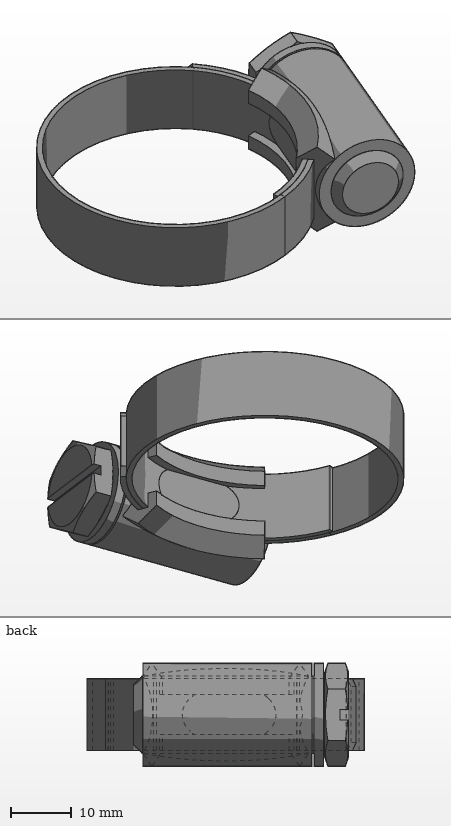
import cadquery as cq
import math


band_radius = 22.9
band_thickness = 0.95
band_width = 11.9
seam_gap = 0.03
joint_angle = 30
inner_tail_angle = 27.4
outer_tail_angle = 153.6
tail_chamfer = 1.3

overlap_radius = band_radius - band_thickness / 2
overlap_shift = band_thickness / 2 / math.cos(math.radians(joint_angle))
overlap_joint = math.degrees(math.atan2(
    overlap_radius * math.sin(math.radians(joint_angle)),
    overlap_radius * math.cos(math.radians(joint_angle)) + overlap_shift,
))

barrel_radius = 8.5
barrel_start = -14.2
barrel_end = 13.7
barrel_bottom = 20.0
axis_y = barrel_bottom + barrel_radius

saddle_inner_radius = 20.85
saddle_centre_y = barrel_bottom - saddle_inner_radius
saddle_ridge_radius = 24.35
saddle_outer_radius = 27.2
saddle_outer_half_width = 6.4
saddle_half_angle = 30
lip_half_opening = 3.3

head_start = -20.25
head_end = -16.3
washer_start = -16.1
washer_end = -14.6
screw_end = 15.15
shank_radius = 6.4
end_chamfer = 1.45
head_corner_radius = 8.5
head_face_radius = 6.95
head_chamfer_length = 0.55
slot_width = 1.7
slot_depth = 1.45


def revolved_sector(profile, start_angle, end_angle):
    """Revolve (radius, z) points about Z, anticlockwise between two angles from +X."""
    return (
        cq.Workplane("XZ")
        .polyline(profile)
        .close()
        .revolve(end_angle - start_angle, (0, 0), (0, 1))
        .rotate((0, 0, 0), (0, 0, 1), start_angle)
    )


def arc_strip(inner_radius, outer_radius, start_angle, end_angle):
    """Stretch of band, centred on Z = 0."""
    half_width = band_width / 2
    profile = [
        (inner_radius, -half_width),
        (outer_radius, -half_width),
        (outer_radius, half_width),
        (inner_radius, half_width),
    ]
    return revolved_sector(profile, start_angle, end_angle)


def x_cylinder(radius, start, end):
    """Cylinder along the screw axis between two X positions."""
    return cq.Workplane("YZ", origin=(start, axis_y, 0)).circle(radius).extrude(end - start)


def make_band():
    ring = arc_strip(band_radius - band_thickness, band_radius,
                     180 - joint_angle, 360 + joint_angle)
    inner_layer = arc_strip(overlap_radius - band_thickness, overlap_radius - seam_gap,
                            inner_tail_angle, 180 - overlap_joint)
    outer_layer = arc_strip(overlap_radius, overlap_radius + band_thickness,
                            overlap_joint, outer_tail_angle)
    outer_layer = cut_tail_corners(outer_layer)
    shift = (-overlap_shift, 0, 0)
    return ring.union(inner_layer.translate(shift)).union(outer_layer.translate(shift))


def cut_tail_corners(layer):
    """Cut both corners off the free end of the outer layer at 45 degrees."""
    half_width = band_width / 2
    for side in (1, -1):
        corner = (
            cq.Workplane("YZ")
            .polyline([
                (0, side * half_width),
                (-tail_chamfer, side * half_width),
                (0, side * (half_width - tail_chamfer)),
            ])
            .close()
            .extrude(2 * band_thickness, both=True)
            .translate((overlap_radius, 0, 0))
            .rotate((0, 0, 0), (0, 0, 1), outer_tail_angle)
        )
        layer = layer.cut(corner)
    return layer


def make_saddle():
    """Ridged sector, open on the inside between two lips that reach over the band edges."""
    upper_profile = [
        (saddle_inner_radius, band_width / 2),
        (saddle_ridge_radius, barrel_radius),
        (saddle_outer_radius, saddle_outer_half_width),
    ]
    lower_profile = [(radius, -z) for radius, z in reversed(upper_profile)]
    body = revolved_sector(
        upper_profile + lower_profile, 90 - saddle_half_angle, 90 + saddle_half_angle
    ).translate((0, saddle_centre_y, 0))
    opening = (
        cq.Workplane("XY")
        .center(-overlap_shift, 0)
        .circle(overlap_radius - band_thickness)
        .extrude(lip_half_opening, both=True)
    )
    return body.cut(opening)


def make_clamp():
    """Band, saddle and barrel as one body, bored for the screw shank."""
    barrel = x_cylinder(barrel_radius, barrel_start, barrel_end)
    bore = x_cylinder(shank_radius, barrel_start, barrel_end)
    return make_band().union(make_saddle()).union(barrel).cut(bore)


def make_head():
    """Slotted hexagon head, its corners turned down at both ends."""
    length = head_end - head_start
    hexagon = (
        cq.Workplane("YZ", origin=(head_start, axis_y, 0))
        .polygon(6, 2 * head_corner_radius)
        .extrude(length)
        .rotate((0, axis_y, 0), (1, axis_y, 0), 90)
    )
    turned = (
        x_cylinder(head_corner_radius, head_start, head_end)
        .faces("<X or >X")
        .chamfer(head_chamfer_length, head_corner_radius - head_face_radius)
    )
    slot = cq.Workplane("XY").box(2 * slot_depth, 2 * head_corner_radius, slot_width)
    return hexagon.intersect(turned).cut(slot.translate((head_start, axis_y, 0)))


def make_screw():
    shank = x_cylinder(shank_radius, head_end, screw_end).faces(">X").chamfer(end_chamfer)
    washer = x_cylinder(barrel_radius, washer_start, washer_end)
    return shank.union(washer).union(make_head())


clamp = make_clamp()
screw = make_screw()

result = cq.Compound.makeCompound([clamp.val(), screw.val()])